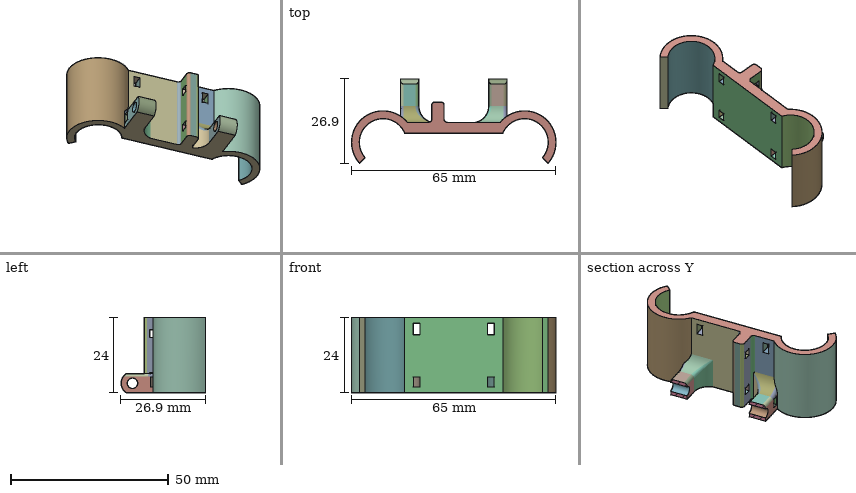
import cadquery as cq
import math

height = 24.0
clamp_radius = 10.0
bore_radius = 7.5
clamp_x = 32.5 - clamp_radius
lip_y = -6.7
plate_front = 2.85
plate_back = 6.4
overlap = 0.65

rib_left = -7.0
rib_width = 3.95
rib_tip = 12.8
rib_tip_radius = 1.0
rib_foot_radius = 1.0
rib_hole_size = 2.4
rib_hole_back = 11.0
rib_hole_z = (5.25, 18.85)

lug_inner = 11.05
lug_outer = 16.95
lug_height = 6.1
lug_tip_radius = 3.65
lug_tip = 20.15
lug_edge_radius = 1.05
pin_radius = 1.6
flare_rise = 5.1
flare_radius = 5.2
flare_sink = 0.05

slot_inner = 10.8
slot_width = 2.0
upper_slot_bottom, upper_slot_top = 18.5, 22.1
lower_slot_bottom, lower_slot_top = 1.9, 5.1
bend_back = 10.8


def mirror_x(solid):
    return solid.mirror("YZ")


def clamp():
    """Right-hand clamp, its mouth cut along a 45 degree line through the lip."""
    ring = cq.Workplane().center(clamp_x, 0).circle(clamp_radius).circle(bore_radius).extrude(height)
    lip_x = clamp_x + math.sqrt(clamp_radius**2 - lip_y**2)
    rise = plate_front - lip_y
    left_limit = clamp_x - clamp_radius
    mouth = (
        cq.Workplane()
        .moveTo(lip_x, lip_y)
        .lineTo(lip_x - rise, plate_front)
        .lineTo(left_limit, plate_front)
        .lineTo(left_limit, -clamp_radius)
        .lineTo(lip_x, -clamp_radius)
        .close()
        .extrude(height)
    )
    return ring.cut(mouth)


def plate():
    """Plate between the clamps, ending on their bores."""
    depth = plate_back - plate_front
    body = cq.Workplane().rect(2 * clamp_x, depth).extrude(height)
    body = body.translate((0, (plate_front + plate_back) / 2, 0))
    bores = cq.Workplane().pushPoints([(-clamp_x, 0), (clamp_x, 0)]).circle(bore_radius).extrude(height)
    return body.cut(bores)


def rib():
    """Full-height rib with rounded tip and filleted foot."""
    right = rib_left + rib_width
    foot = rib_foot_radius
    tip = rib_tip_radius
    body = (
        cq.Workplane()
        .moveTo(rib_left - foot, plate_back - overlap)
        .lineTo(rib_left - foot, plate_back)
        .radiusArc((rib_left, plate_back + foot), -foot)
        .lineTo(rib_left, rib_tip - tip)
        .radiusArc((rib_left + tip, rib_tip), tip)
        .lineTo(right - tip, rib_tip)
        .radiusArc((right, rib_tip - tip), tip)
        .lineTo(right, plate_back + foot)
        .radiusArc((right + foot, plate_back), -foot)
        .lineTo(right + foot, plate_back - overlap)
        .close()
        .extrude(height)
    )
    for z in rib_hole_z:
        hole = cq.Workplane().box(2 * rib_width, rib_hole_size, rib_hole_size)
        body = body.cut(
            hole.translate((rib_left + rib_width / 2, rib_hole_back - rib_hole_size / 2, z))
        )
    return body


def lug():
    """Right-hand lug: plan outline crossed with side outline, top edges rounded."""
    flare_start = plate_back + flare_rise
    root = plate_back - flare_sink
    drop = flare_start - root
    flare_reach = flare_radius - math.sqrt(flare_radius**2 - drop**2)
    plan = (
        cq.Workplane()
        .moveTo(lug_outer, root)
        .lineTo(lug_outer, lug_tip)
        .lineTo(lug_inner, lug_tip)
        .lineTo(lug_inner, flare_start)
        .radiusArc((lug_inner - flare_reach, root), flare_radius)
        .close()
        .extrude(height)
    )
    pin_y = lug_tip - lug_tip_radius
    pin_z = lug_height / 2
    tip_y = pin_y + math.sqrt(lug_tip_radius**2 - pin_z**2)
    side = (
        cq.Workplane("YZ")
        .moveTo(root, 0)
        .lineTo(tip_y, 0)
        .threePointArc((lug_tip, pin_z), (tip_y, lug_height))
        .lineTo(flare_start, lug_height)
        .radiusArc((root, lug_height + flare_reach), flare_radius)
        .close()
        .extrude(lug_outer)
    )
    pin = cq.Workplane("YZ").center(pin_y, pin_z).circle(pin_radius).extrude(lug_outer)
    body = plan.intersect(side)
    body = body.edges(cq.selectors.BoxSelector(
        (0, flare_start, lug_height - 0.05),
        (2 * lug_outer, lug_tip, lug_height + 0.05),
    )).edges("|Y").fillet(lug_edge_radius)
    body = body.cut(pin)
    clamp_bore = cq.Workplane().center(clamp_x, 0).circle(bore_radius).extrude(height)
    return body.cut(clamp_bore)


def upper_slot():
    """Right-hand straight slot through the plate."""
    slot = cq.Workplane().box(
        slot_width, plate_back - plate_front + 2 * overlap, upper_slot_top - upper_slot_bottom
    )
    return slot.translate((
        slot_inner + slot_width / 2,
        (plate_front + plate_back) / 2,
        (upper_slot_bottom + upper_slot_top) / 2,
    ))


def lower_slot():
    """Right-hand slot that turns a quarter circle and leaves by the lug's outer side."""
    bend_outer = lug_outer - slot_inner
    bend_inner = bend_outer - slot_width
    bend_y = bend_back - bend_outer
    front = plate_front - overlap
    side = lug_outer + overlap
    return (
        cq.Workplane(origin=(0, 0, lower_slot_bottom))
        .moveTo(slot_inner, front)
        .lineTo(slot_inner, bend_y)
        .radiusArc((lug_outer, bend_back), bend_outer)
        .lineTo(side, bend_back)
        .lineTo(side, bend_y + bend_inner)
        .lineTo(lug_outer, bend_y + bend_inner)
        .radiusArc((slot_inner + slot_width, bend_y), -bend_inner)
        .lineTo(slot_inner + slot_width, front)
        .close()
        .extrude(lower_slot_top - lower_slot_bottom)
    )


result = plate()
for side_feature in (clamp(), lug()):
    result = result.union(side_feature).union(mirror_x(side_feature))
result = result.union(rib())
for slot in (upper_slot(), lower_slot()):
    result = result.cut(slot).cut(mirror_x(slot))